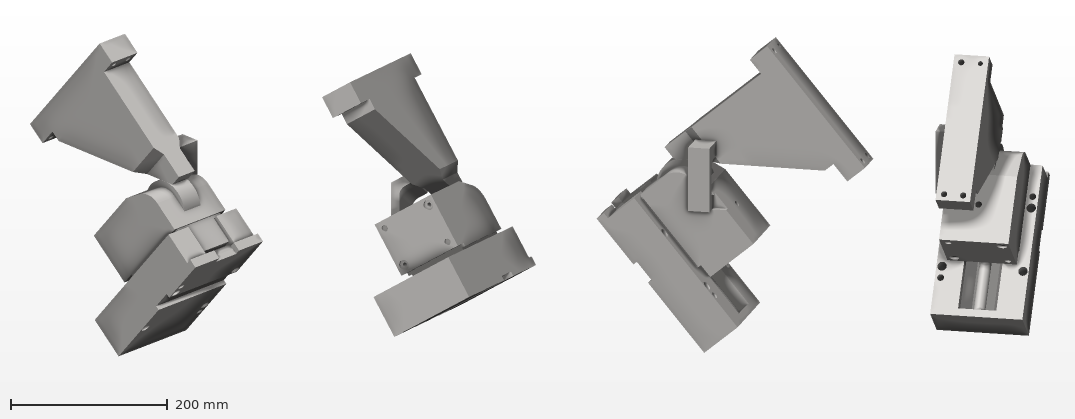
import cadquery as cq
import math

TILT = 50.0
SIN_TILT = math.sin(math.radians(TILT))
COS_TILT = math.cos(math.radians(TILT))

BASE_WIDTH = 120.0
BASE_START, BASE_END = -182.5, 29.0
BASE_TOP, BASE_BOTTOM = -45.5, -102.8
LIP_LENGTH, LIP_HEIGHT, LIP_GAP = 8.5, 12.5, 35.0
KEYWAY_START, KEYWAY_END, KEYWAY_DEPTH = -68.0, -37.7, 6.0
SLOT_START = -172.5
SLOT_WIDTH, SLOT_LIP_THICKNESS = 49.8, 14.0
SLOT_DEPTH, SLOT_FLOOR_WIDTH = 38.0, 29.0
CAVITY_END, CAVITY_WIDTH = 12.0, 68.2
CAVITY_FLOOR_SLOPE = 30.0
RAMP_RISE, RAMP_LENGTH = 11.2, 12.5
BOLT_DIAMETER, DOWEL_DIAMETER = 12.0, 9.0
BASE_HOLE_Y = 52.5
BASE_BOLT_X = (-117.0, -30.0)
BASE_DOWELS = ((-132.5, BASE_HOLE_Y), (-14.5, -BASE_HOLE_Y))

CARRIAGE_WIDTH = 90.5
CARRIAGE_START = -111.2
CARRIAGE_TOP, CARRIAGE_BOTTOM = 37.0, -41.5
CROWN_RADIUS = 27.0
CROWN_SLOPE = 22.5
FOOT_STEP_X, FOOT_STEP_HEIGHT = -92.0, 4.5
RIB_RADIUS, RIB_WIDTH = 35.7, 28.0
PLATE_WIDTH, PLATE_END, PLATE_CHAMFER = 80.3, 24.0, 3.2
TONGUE_CLEARANCE = 1.5
TAPPED_DIAMETER, TAPPED_DEPTH, TAPPED_X = 8.5, 20.0, -60.2
DOWEL_SOCKET_DIAMETER, SCREW_HOLE_DIAMETER = 8.5, 5.5
SCREW_HOLE_DEPTH = 20.0
END_HOLE_Y, END_HOLE_Z = 35.0, 26.5
COUNTERBORE_DIAMETER = 13.2
SOCKET_DEPTH = 3.2

ROD_RADIUS, ROD_Z = 7.5, -61.0
ROD_HEAD_RADIUS, ROD_HEAD_LENGTH = 17.3, 12.0

ARM_WIDTH, NECK_WIDTH = 45.0, RIB_WIDTH
ARM_START, ARM_END = -122.0, 77.5
ARM_TOP, FLANGE_THICKNESS = 212.0, 30.0
WEB_START, WEB_END = -93.5, 54.0
NOSE_Z = 13.2
NECK_TAPER_TOP, NECK_TAPER_BOTTOM = 62.2, 49.0
ARM_BOTTOM_HEIGHT = RIB_RADIUS
ARM_HOLE_DIAMETER, ARM_DOWEL_DIAMETER = 8.0, 6.5
ARM_HOLE_X, ARM_HOLE_Y = (-113.5, 67.0), 12.5

HOOK_LEFT, HOOK_RIGHT = -45.5, -17.5
HOOK_TOP, HOOK_LEG_BOTTOM = 65.5, 46.0
HOOK_FOOT_TOP, HOOK_BOTTOM = 0.5, -19.0
HOOK_OUTER_Y = BASE_WIDTH / 2
HOOK_INNER_Y = HOOK_OUTER_Y - 13.2
HOOK_FOOT_Y = HOOK_OUTER_Y - 23.0
HOOK_FILLET = 10.0


def tilted(body):
    return body.rotate((0, 0, 0), (0, 1, 0), -TILT)


def box(x0, x1, y0, y1, z0, z1):
    return cq.Workplane("XY").box(x1 - x0, y1 - y0, z1 - z0, centered=False).translate((x0, y0, z0))


def plate_of(outline, width):
    """Outline in X and Z made into a plate centred on Y = 0."""
    return cq.Workplane("XZ").polyline(outline).close().extrude(width / 2, both=True)


def upright_hole(x, y, z_top, diameter, depth):
    return cq.Workplane("XY", origin=(x, y, z_top)).circle(diameter / 2).extrude(-depth)


def cylinder_along_x(x, y, z, radius, length):
    return cq.Workplane("YZ", origin=(x, y, z)).circle(radius).extrude(length)


def slide(start, end, cavity_end, clearance):
    """Shape of the base slot less a clearance: a narrow bar over a wider body, then a plain nose."""
    half = SLOT_WIDTH / 2 - clearance
    cavity_half = CAVITY_WIDTH / 2 - clearance
    floor_half = SLOT_FLOOR_WIDTH / 2
    floor = BASE_TOP - SLOT_DEPTH + clearance
    cavity_top = BASE_TOP - SLOT_LIP_THICKNESS - clearance
    slope_rise = (cavity_half - floor_half) * math.tan(math.radians(CAVITY_FLOOR_SLOPE))
    slope_top = floor + slope_rise
    bar = box(start, cavity_end, -half, half, cavity_top, BASE_TOP)
    nose = box(cavity_end, end, -half, half, floor, BASE_TOP)
    cavity = (cq.Workplane("YZ", origin=(start, 0, 0))
              .polyline([(-cavity_half, cavity_top), (-cavity_half, slope_top), (-floor_half, floor),
                         (floor_half, floor), (cavity_half, slope_top), (cavity_half, cavity_top)])
              .close().extrude(cavity_end - start))
    return cavity.union(bar).union(nose)


def make_base():
    lip_end = BASE_END + LIP_LENGTH
    lip_top = BASE_BOTTOM + LIP_HEIGHT
    keyway_top = BASE_BOTTOM + KEYWAY_DEPTH
    base = plate_of([(BASE_START, BASE_TOP), (BASE_END, BASE_TOP), (BASE_END, lip_top),
                     (lip_end, lip_top), (lip_end, BASE_BOTTOM),
                     (KEYWAY_END, BASE_BOTTOM), (KEYWAY_END, keyway_top),
                     (KEYWAY_START, keyway_top), (KEYWAY_START, BASE_BOTTOM),
                     (BASE_START, BASE_BOTTOM)], BASE_WIDTH)
    base = base.cut(box(BASE_END, lip_end, -LIP_GAP / 2, LIP_GAP / 2, BASE_BOTTOM, lip_top))

    base = base.cut(slide(SLOT_START, BASE_END, CAVITY_END, 0))
    floor = BASE_TOP - SLOT_DEPTH
    ramp = plate_of([(BASE_END - RAMP_LENGTH, floor), (BASE_END, floor), (BASE_END, floor - RAMP_RISE)],
                    SLOT_WIDTH)
    base = base.cut(ramp)

    thickness = BASE_TOP - BASE_BOTTOM
    for x in BASE_BOLT_X:
        for y in (-BASE_HOLE_Y, BASE_HOLE_Y):
            base = base.cut(upright_hole(x, y, BASE_TOP, BOLT_DIAMETER, thickness))
    for x, y in BASE_DOWELS:
        base = base.cut(upright_hole(x, y, BASE_TOP, DOWEL_DIAMETER, thickness))
    return tilted(base)


def carriage_block():
    slope = math.radians(CROWN_SLOPE)
    arc_angle = math.radians(90 - CROWN_SLOPE)
    arc_end = (CROWN_RADIUS * math.cos(arc_angle), CROWN_RADIUS * math.sin(arc_angle))
    arc_middle = (CROWN_RADIUS * math.cos(arc_angle / 2), CROWN_RADIUS * math.sin(arc_angle / 2))
    slope_end_x = arc_end[0] - (CARRIAGE_TOP - arc_end[1]) / math.tan(slope)
    step_z = CARRIAGE_BOTTOM + FOOT_STEP_HEIGHT
    return (cq.Workplane("XZ")
            .moveTo(CROWN_RADIUS, CARRIAGE_BOTTOM)
            .lineTo(CROWN_RADIUS, 0)
            .threePointArc(arc_middle, arc_end)
            .lineTo(slope_end_x, CARRIAGE_TOP)
            .lineTo(CARRIAGE_START, CARRIAGE_TOP)
            .lineTo(CARRIAGE_START, step_z)
            .lineTo(FOOT_STEP_X, step_z)
            .lineTo(FOOT_STEP_X, CARRIAGE_BOTTOM)
            .close().extrude(CARRIAGE_WIDTH / 2, both=True))


def make_carriage():
    carriage = carriage_block()
    rib = cq.Workplane("XZ").circle(RIB_RADIUS).extrude(RIB_WIDTH / 2, both=True)
    plate = box(FOOT_STEP_X, PLATE_END, -PLATE_WIDTH / 2, PLATE_WIDTH / 2, BASE_TOP, CARRIAGE_BOTTOM)
    plate = plate.faces(">X").edges("|Z").chamfer(PLATE_CHAMFER)
    tongue = slide(FOOT_STEP_X, PLATE_END, CAVITY_END, TONGUE_CLEARANCE)
    carriage = carriage.union(rib).union(plate).union(tongue)

    carriage = carriage.cut(cylinder_along_x(FOOT_STEP_X, 0, ROD_Z, ROD_HEAD_RADIUS, ROD_HEAD_LENGTH))

    carriage = carriage.cut(upright_hole(TAPPED_X, 0, CARRIAGE_TOP, TAPPED_DIAMETER, TAPPED_DEPTH))

    for side in (-1, 1):
        y, z = side * END_HOLE_Y, side * END_HOLE_Z
        socket = cylinder_along_x(CARRIAGE_START, y, z, DOWEL_SOCKET_DIAMETER / 2, SOCKET_DEPTH)
        counterbore = cylinder_along_x(CARRIAGE_START, y, -z, COUNTERBORE_DIAMETER / 2, SOCKET_DEPTH)
        screw_hole = cylinder_along_x(CARRIAGE_START, y, -z, SCREW_HOLE_DIAMETER / 2, SCREW_HOLE_DEPTH)
        carriage = carriage.cut(socket).cut(counterbore).cut(screw_hole)

    notch_start = (-CARRIAGE_TOP + HOOK_BOTTOM * COS_TILT) / SIN_TILT
    notch = box(notch_start, HOOK_RIGHT, HOOK_FOOT_Y, HOOK_OUTER_Y, HOOK_BOTTOM, HOOK_FOOT_TOP)
    return tilted(carriage).cut(notch)


def make_rod():
    shaft = cylinder_along_x(SLOT_START, 0, ROD_Z, ROD_RADIUS, FOOT_STEP_X - SLOT_START)
    head = cylinder_along_x(FOOT_STEP_X, 0, ROD_Z, ROD_HEAD_RADIUS, ROD_HEAD_LENGTH)
    return tilted(shaft.union(head))


def make_arm():
    flange_z = ARM_TOP - FLANGE_THICKNESS
    web_corner_z = (ARM_BOTTOM_HEIGHT - WEB_START * SIN_TILT) / COS_TILT
    nose_x = (ARM_BOTTOM_HEIGHT - NOSE_Z * COS_TILT) / SIN_TILT
    arm = plate_of([(ARM_START, ARM_TOP), (ARM_END, ARM_TOP), (ARM_END, flange_z),
                    (WEB_END, flange_z), (WEB_END, NOSE_Z), (nose_x, NOSE_Z),
                    (WEB_START, web_corner_z), (WEB_START, flange_z), (ARM_START, flange_z)],
                   ARM_WIDTH)

    wide, thin = ARM_WIDTH / 2, NECK_WIDTH / 2
    side_cut = (cq.Workplane("YZ", origin=(ARM_START, 0, 0))
                .polyline([(wide, NECK_TAPER_TOP), (thin, NECK_TAPER_BOTTOM), (thin, NOSE_Z), (wide, NOSE_Z)])
                .close().extrude(ARM_END - ARM_START))
    arm = arm.cut(side_cut).cut(side_cut.mirror("XZ"))

    left, right = ARM_HOLE_X
    for x, y, diameter in ((left, -ARM_HOLE_Y, ARM_HOLE_DIAMETER), (left, ARM_HOLE_Y, ARM_HOLE_DIAMETER),
                           (right, ARM_HOLE_Y, ARM_HOLE_DIAMETER),
                           (right, -ARM_HOLE_Y, ARM_DOWEL_DIAMETER)):
        arm = arm.cut(upright_hole(x, y, ARM_TOP, diameter, FLANGE_THICKNESS))
    return tilted(arm)


def make_hook():
    arm_side = ARM_WIDTH / 2
    hook = (cq.Workplane("YZ", origin=(HOOK_LEFT, 0, 0))
            .moveTo(arm_side, HOOK_TOP)
            .lineTo(HOOK_OUTER_Y, HOOK_TOP)
            .lineTo(HOOK_OUTER_Y, HOOK_BOTTOM)
            .lineTo(HOOK_FOOT_Y, HOOK_BOTTOM)
            .lineTo(HOOK_FOOT_Y, HOOK_FOOT_TOP)
            .lineTo(HOOK_INNER_Y, HOOK_FOOT_TOP)
            .lineTo(HOOK_INNER_Y, HOOK_LEG_BOTTOM - HOOK_FILLET)
            .radiusArc((HOOK_INNER_Y - HOOK_FILLET, HOOK_LEG_BOTTOM), -HOOK_FILLET)
            .lineTo(arm_side, HOOK_LEG_BOTTOM)
            .close().extrude(HOOK_RIGHT - HOOK_LEFT))
    return hook


base = make_base()
carriage = make_carriage()
rod = make_rod()
arm = make_arm()
hook = make_hook()

bodies = [base, carriage, rod, arm, hook]
result = cq.Compound.makeCompound([body.solids().val() for body in bodies])